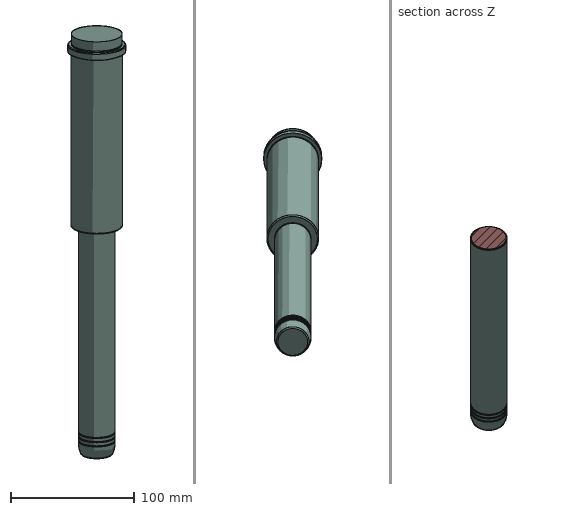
import cadquery as cq

total_length = 360.0
sleeve_length = 165.0
sleeve_bottom = total_length - sleeve_length

shaft_diameter = 30.0
sleeve_diameter = 42.0
collar_diameter = 47.0
head_diameter = 41.5

head_height = 9.0
collar_height = 5.8
collar_top = total_length - head_height
collar_bottom = collar_top - collar_height

relief_width = 1.0
relief_depth = 0.55

sleeve_chamfer = 1.0
collar_chamfer = 0.7
tip_round_height = 8.0
tip_round_radius = 18.0
tip_inset = 1.8
tip_chamfer = 1.0

groove_width = 0.9
groove_depth = 0.5
groove_count = 3
groove_pitch = 3.5
lowest_groove_bottom = 11.0


def cylinder(diameter, bottom, top):
    """Solid cylinder on the Z axis between two heights."""
    return cq.Workplane("XY").workplane(offset=bottom).circle(diameter / 2).extrude(top - bottom)


def ring_groove(diameter, depth, bottom, width):
    """Cutter for a groove of the given depth around a cylinder."""
    outer = cylinder(diameter, bottom, bottom + width)
    return outer.cut(cylinder(diameter - 2 * depth, bottom, bottom + width))


def make_shaft():
    """Shaft with a rounded tip and shallow grooves."""
    radius = shaft_diameter / 2
    tip_radius = radius - tip_inset
    shaft = (
        cq.Workplane("XZ")
        .moveTo(0, sleeve_bottom)
        .lineTo(radius, sleeve_bottom)
        .lineTo(radius, tip_round_height)
        .radiusArc((tip_radius, tip_chamfer), tip_round_radius)
        .lineTo(tip_radius - tip_chamfer, 0)
        .lineTo(0, 0)
        .close()
        .revolve(360, (0, 0, 0), (0, 1, 0))
    )
    for index in range(groove_count):
        bottom = lowest_groove_bottom + index * groove_pitch
        shaft = shaft.cut(ring_groove(shaft_diameter, groove_depth, bottom, groove_width))
    return shaft.cut(ring_groove(shaft_diameter, relief_depth, sleeve_bottom - relief_width, relief_width))


def make_sleeve():
    """Sleeve with a chamfered lower end, a slightly smaller head and reliefs beside the collar."""
    sleeve = cylinder(sleeve_diameter, sleeve_bottom, collar_top)
    sleeve = sleeve.faces("<Z").edges().chamfer(sleeve_chamfer)
    sleeve = sleeve.union(cylinder(head_diameter, collar_top, total_length))
    for bottom in (collar_top, collar_bottom - relief_width):
        sleeve = sleeve.cut(ring_groove(sleeve_diameter, relief_depth, bottom, relief_width))
    return sleeve


collar = cylinder(collar_diameter, collar_bottom, collar_top).faces(">Z").edges().chamfer(collar_chamfer)
result = make_shaft().union(make_sleeve()).union(collar)